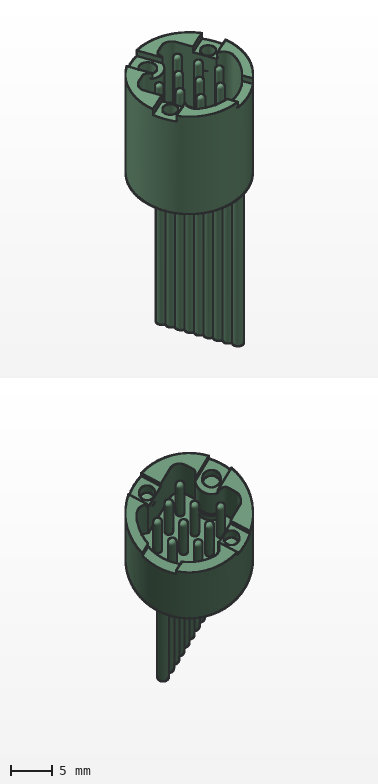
import cadquery as cq
import math

total_height = 41.15
body_diameter = 15.5
body_height = 16.0
bottom_chamfer = 0.25
body_bottom = total_height - body_height
body_radius = body_diameter / 2

notch_depth = 0.9
narrow_notch_width = 3.13
wide_notch_width = 4.7
notch_floor = total_height - notch_depth

pocket_depth = 9.88
pocket_floor = total_height - pocket_depth
pocket_radius = 6.4
pocket_half_width = 4.85
pocket_left = -5.15
pocket_corner_radius = 1.35
lobe_radius = 1.4
lobe_half_width = 5.6

key_x = -5.47
key_radius = 2.0
key_blend_radius = 0.5
key_hole_diameter = 2.25
key_core_diameter = 2.1
key_hole_depth = 2.9

slot_mouth_width = 4.95
slot_mouth_round = 0.6
slot_height = 0.7
slot_bottom = total_height - 8.35

pin_diameter = 1.05
pin_tip_round = 0.35
pin_recess = 0.15
pin_pitch = 2.75
pin_row_spacing = 2.85
middle_row_shift = pin_pitch / 2

side_post_y = 5.9
side_hole_diameter = 1.95
side_post_tip_round = 0.55
side_post_recess = 2.9

wire_count = 9
wire_diameter = 1.5
wire_first_x = -3.62
wire_last_x = 6.4
wire_overlap = 0.4


def cylinder(diameter, x, y, bottom, top):
    """Vertical cylinder between two heights."""
    return cq.Workplane("XY", origin=(x, y, bottom)).circle(diameter / 2).extrude(top - bottom)


def rounded_post(diameter, tip_round, x, y, bottom, top):
    """Vertical post with a rounded top edge."""
    return cylinder(diameter, x, y, bottom, top).faces(">Z").edges().fillet(tip_round)


def rim_notch(length_x, length_y, x, y):
    """Rectangular cutter from the notch floor up through the rim."""
    notch = cq.Workplane("XY", origin=(x, y, notch_floor))
    return notch.rect(length_x, length_y).extrude(notch_depth)


def pocket():
    """Pocket: straight sides, two lobes, a round right wall and the key nose."""
    lobe_y = lobe_half_width - lobe_radius
    lobe_x = math.sqrt((pocket_radius - lobe_radius) ** 2 - lobe_y ** 2)
    lobe_start_x = lobe_x - math.sqrt(lobe_radius ** 2 - (pocket_half_width - lobe_y) ** 2)
    lobe_end_x = lobe_x * pocket_radius / (pocket_radius - lobe_radius)
    lobe_end_y = lobe_y * pocket_radius / (pocket_radius - lobe_radius)

    corner_x = pocket_left + pocket_corner_radius
    corner_y = pocket_half_width - pocket_corner_radius
    corner_mid = pocket_corner_radius * math.sqrt(0.5)

    blend_x = pocket_left + key_blend_radius
    blend_reach = key_radius + key_blend_radius
    blend_y = math.sqrt(blend_reach ** 2 - (blend_x - key_x) ** 2)
    nose_x = key_x + (blend_x - key_x) * key_radius / blend_reach
    nose_y = blend_y * key_radius / blend_reach
    blend_angle = (math.pi + math.atan2(-blend_y, key_x - blend_x) % (2 * math.pi)) / 2
    blend_mid_x = blend_x + key_blend_radius * math.cos(blend_angle)
    blend_mid_y = blend_y + key_blend_radius * math.sin(blend_angle)

    outline = (
        cq.Workplane("XY", origin=(0, 0, pocket_floor))
        .moveTo(corner_x, pocket_half_width)
        .lineTo(lobe_start_x, pocket_half_width)
        .threePointArc((lobe_x, lobe_half_width), (lobe_end_x, lobe_end_y))
        .threePointArc((pocket_radius, 0), (lobe_end_x, -lobe_end_y))
        .threePointArc((lobe_x, -lobe_half_width), (lobe_start_x, -pocket_half_width))
        .lineTo(corner_x, -pocket_half_width)
        .threePointArc((corner_x - corner_mid, -corner_y - corner_mid), (pocket_left, -corner_y))
        .lineTo(pocket_left, -blend_y)
        .threePointArc((blend_mid_x, -blend_mid_y), (nose_x, -nose_y))
        .threePointArc((key_x + key_radius, 0), (nose_x, nose_y))
        .threePointArc((blend_mid_x, blend_mid_y), (pocket_left, blend_y))
        .lineTo(pocket_left, corner_y)
        .threePointArc((corner_x - corner_mid, corner_y + corner_mid), (corner_x, pocket_half_width))
        .close()
    )
    return outline.extrude(pocket_depth)


def wall_slot():
    """Slot from the outer wall into the pocket: round mouth, straight throat, key core left standing."""
    mouth_half = slot_mouth_width / 2
    throat_half = mouth_half - slot_mouth_round
    mouth_x = -math.sqrt(body_radius ** 2 - mouth_half ** 2)
    throat_x = mouth_x + slot_mouth_round
    round_mid = slot_mouth_round * math.sqrt(0.5)
    mid_x = throat_x - round_mid
    mid_y = mouth_half - round_mid
    slot_end_x = key_x + key_radius
    slot = (
        cq.Workplane("XY", origin=(0, 0, slot_bottom))
        .moveTo(-body_radius, mouth_half)
        .lineTo(mouth_x, mouth_half)
        .threePointArc((mid_x, mid_y), (throat_x, throat_half))
        .lineTo(slot_end_x, throat_half)
        .lineTo(slot_end_x, -throat_half)
        .lineTo(throat_x, -throat_half)
        .threePointArc((mid_x, -mid_y), (mouth_x, -mouth_half))
        .lineTo(-body_radius, -mouth_half)
        .close()
        .extrude(slot_height)
    )
    return slot.cut(cylinder(key_core_diameter, key_x, 0, slot_bottom, slot_bottom + slot_height))


body = cylinder(body_diameter, 0, 0, body_bottom, total_height)
body = body.faces("<Z").edges().chamfer(bottom_chamfer)
notch_inset = body_radius / 2
body = body.cut(rim_notch(narrow_notch_width, body_diameter, 0, 0))
body = body.cut(rim_notch(body_radius, narrow_notch_width, -notch_inset, 0))
body = body.cut(rim_notch(body_radius, wide_notch_width, notch_inset, 0))
body = body.cut(pocket())
key_hole_floor = total_height - key_hole_depth
body = body.cut(cylinder(key_hole_diameter, key_x, 0, key_hole_floor, total_height))
body = body.cut(wall_slot())

side_post_top = total_height - side_post_recess
side_hole_floor = side_post_top - side_post_tip_round
for side in (-1, 1):
    post_y = side * side_post_y
    body = body.cut(cylinder(side_hole_diameter, 0, post_y, side_hole_floor, total_height))
    post = rounded_post(side_hole_diameter, side_post_tip_round, 0, post_y, body_bottom, side_post_top)
    body = body.union(post)

pin_top = total_height - pin_recess
for row in (-1, 0, 1):
    row_shift = middle_row_shift if row == 0 else 0
    for column in (-1, 0, 1):
        pin_x = column * pin_pitch + row_shift
        pin_y = row * pin_row_spacing
        pin = rounded_post(pin_diameter, pin_tip_round, pin_x, pin_y, body_bottom, pin_top)
        body = body.union(pin)

wire_pitch = (wire_last_x - wire_first_x) / (wire_count - 1)
for index in range(wire_count):
    wire_x = wire_first_x + index * wire_pitch
    body = body.union(cylinder(wire_diameter, wire_x, 0, 0, body_bottom + wire_overlap))

result = body